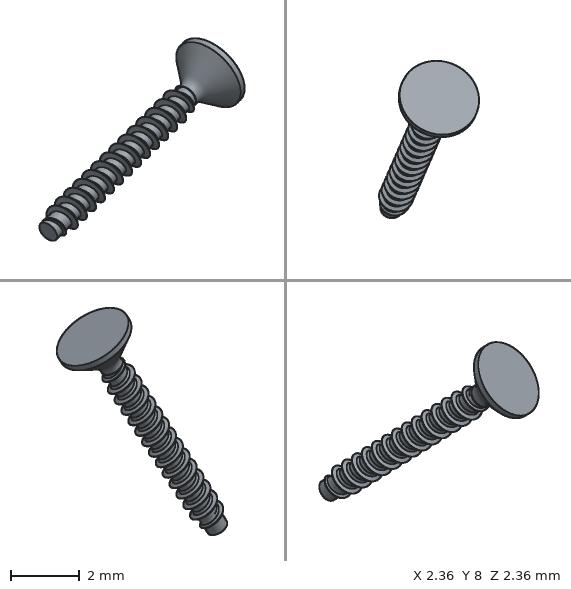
import cadquery as cq
import math

length = 8.0

head_radius = 1.18
rim_height = 0.2
neck_radius = 0.35
neck_fillet = 0.4
neck_end = 1.26
cone_angle = math.radians(45)

core_radius = 0.33

pitch = 0.44
crest_radius = 1.0 / 2
crest_width = 0.02
flare_reach = 0.17
flank_foot_reach = 0.06
flank_foot_height = 0.04
tip_side_reach = 0.06
root_sink = 0.01
run_in_start = 0.98
full_start = 1.7
full_end = 7.36
run_out_end = 7.9
crest_on_x_axis = 1.95
faded_height = 0.02
points_per_turn = 16


def screw_body():
    """Head, filleted neck and plain core as one revolved body."""
    fillet_top_radius = neck_radius + neck_fillet * (1 - math.cos(cone_angle))
    fillet_top = rim_height + (head_radius - fillet_top_radius) / math.tan(cone_angle)
    fillet_end = fillet_top + neck_fillet * math.sin(cone_angle)
    half_angle = cone_angle / 2
    fillet_middle = (
        neck_radius + neck_fillet * (1 - math.cos(half_angle)),
        fillet_end - neck_fillet * math.sin(half_angle),
    )
    profile = (
        cq.Workplane("XZ")
        .lineTo(head_radius, 0)
        .lineTo(head_radius, rim_height)
        .lineTo(fillet_top_radius, fillet_top)
        .threePointArc(fillet_middle, (neck_radius, fillet_end))
        .lineTo(neck_radius, neck_end)
        .lineTo(core_radius, neck_end)
        .lineTo(core_radius, length)
        .lineTo(0, length)
        .close()
    )
    return profile.revolve(360, (0, 0, 0), (0, 1, 0))


def thread_piece(start, end, start_height, end_height):
    """Helical ridge whose height, as a share of the full height, changes evenly from start to end."""
    steps = math.ceil((end - start) / pitch * points_per_turn)

    def ridge_edge(axial_shift, full_height):
        points = []
        for step in range(steps + 1):
            fraction = step / steps
            distance = start + fraction * (end - start)
            angle = 2 * math.pi * (distance - crest_on_x_axis) / pitch
            height_share = start_height + fraction * (end_height - start_height)
            radius = core_radius - root_sink + height_share * (full_height + root_sink)
            points.append(cq.Vector(
                radius * math.cos(angle),
                radius * math.sin(angle),
                distance + axial_shift,
            ))
        return cq.Edge.makeSpline(points)

    section = [
        (-flare_reach, -root_sink),
        (-flank_foot_reach, flank_foot_height),
        (-crest_width / 2, crest_radius - core_radius),
        (crest_width / 2, crest_radius - core_radius),
        (tip_side_reach, -root_sink),
    ]
    edges = [ridge_edge(shift, height) for shift, height in section]
    sides = [cq.Face.makeRuledSurface(edges[i - 1], edges[i]) for i in range(len(edges))]
    ends = [
        cq.Face.makeFromWires(cq.Wire.makePolygon([edge.positionAt(at) for edge in edges], close=True))
        for at in (0, 1)
    ]
    return cq.Solid.makeSolid(cq.Shell.makeShell(sides + ends))


run_in = thread_piece(run_in_start, full_start, faded_height, 1)
full_thread = thread_piece(full_start, full_end, 1, 1)
run_out = thread_piece(full_end, run_out_end, 1, faded_height)

neck_trim = cq.Workplane("XY").circle(head_radius).extrude(neck_end)
run_in = cq.Workplane(run_in).cut(neck_trim)

screw = screw_body().union(full_thread).union(run_in).union(run_out)

result = screw.rotate((0, 0, 0), (1, 0, 0), 90)